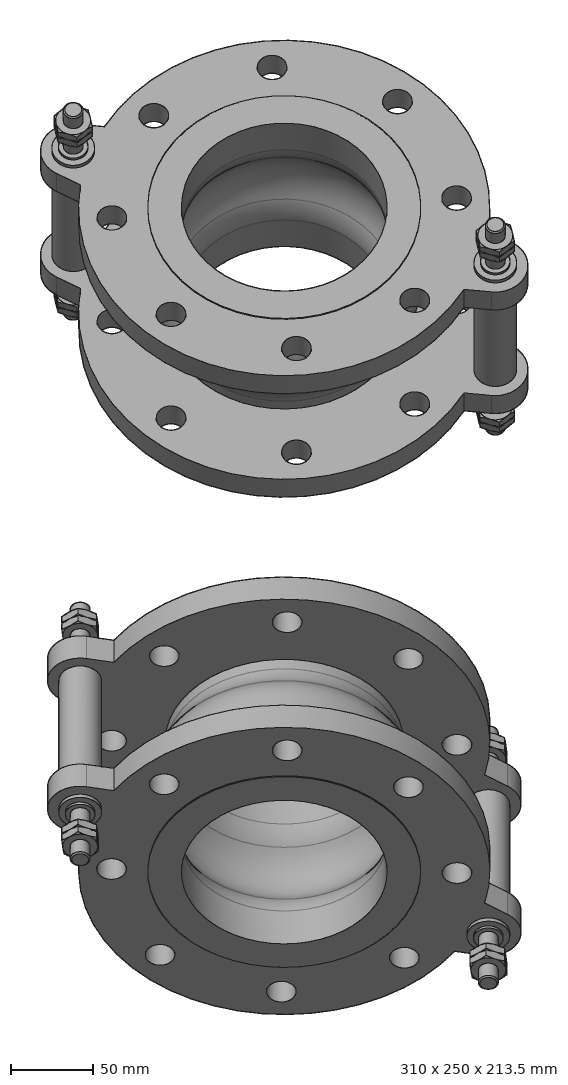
import cadquery as cq
import math

flange_diameter = 250.0
flange_inner_z = 45.0
flange_thickness = 19.0
flange_outer_z = flange_inner_z + flange_thickness
face_diameter = 166.0
face_height = 1.0
face_z = flange_outer_z + face_height

bolt_count = 8
bolt_hole_diameter = 18.0
bolt_circle_diameter = 210.0

overall_length = 310
lug_radius = 19.8
lug_x = overall_length / 2 - lug_radius
lug_taper = math.radians(12)

bore_diameter = 125.0
neck_diameter = 145.0
crown_diameter = 170.0
neck_end_z = 37.0
crown_end_z = 22.0

rod_diameter = 12.0
overall_height = 213.5
rod_chamfer = 1.0
sleeve_diameter = 26.0
sleeve_end_z = 66.5
collar_diameter = 18.0
collar_height = 2.0

nut_count = 2
nut_across_corners = 24.5
nut_stack_height = 12.0
nut_height = nut_stack_height / nut_count
nut_start_z = 83.5
nut_chamfer_angle = math.radians(25)


def disc(diameter, bottom_z, top_z):
    return cq.Workplane("XY").workplane(offset=bottom_z).circle(diameter / 2).extrude(top_z - bottom_z)


def both_ends(shape):
    return shape.union(shape.mirror("XY"))


def lug():
    """Right-hand lug of the upper flange."""
    tangent_x = lug_x + lug_radius * math.sin(lug_taper)
    tangent_y = lug_radius * math.cos(lug_taper)
    root_x = bolt_circle_diameter / 2
    root_y = tangent_y + (tangent_x - root_x) * math.tan(lug_taper)
    return (
        cq.Workplane("XY")
        .workplane(offset=flange_inner_z)
        .moveTo(root_x, -root_y)
        .lineTo(tangent_x, -tangent_y)
        .threePointArc((lug_x + lug_radius, 0), (tangent_x, tangent_y))
        .lineTo(root_x, root_y)
        .close()
        .extrude(flange_thickness)
    )


def flange():
    right_lug = lug()
    body = disc(flange_diameter, flange_inner_z, flange_outer_z)
    body = body.union(right_lug).union(right_lug.mirror("YZ"))
    body = body.union(disc(face_diameter, flange_outer_z, face_z))
    bolt_holes = (
        cq.Workplane("XY")
        .workplane(offset=flange_inner_z)
        .polarArray(bolt_circle_diameter / 2, 180 / bolt_count, 360, bolt_count)
        .circle(bolt_hole_diameter / 2)
        .extrude(flange_thickness)
    )
    return body.cut(bolt_holes).cut(disc(bore_diameter, flange_inner_z, face_z))


def bulged_core(neck_radius, crown_radius):
    """Solid of revolution: straight necks, with neck and crown arcs that meet tangentially."""
    sweep = 2 * math.atan((crown_radius - neck_radius) / neck_end_z)
    crown_arc = crown_end_z / math.sin(sweep)
    neck_arc = (neck_end_z - crown_end_z) / math.sin(sweep)
    join_r = crown_radius - crown_arc * (1 - math.cos(sweep))
    mid_r = neck_radius + neck_arc * (1 - math.cos(sweep / 2))
    mid_z = neck_end_z - neck_arc * math.sin(sweep / 2)
    return (
        cq.Workplane("XZ")
        .moveTo(0, -flange_inner_z)
        .lineTo(neck_radius, -flange_inner_z)
        .lineTo(neck_radius, -neck_end_z)
        .threePointArc((mid_r, -mid_z), (join_r, -crown_end_z))
        .threePointArc((crown_radius, 0), (join_r, crown_end_z))
        .threePointArc((mid_r, mid_z), (neck_radius, neck_end_z))
        .lineTo(neck_radius, flange_inner_z)
        .lineTo(0, flange_inner_z)
        .close()
        .revolve(360, (0, 0, 0), (0, 1, 0))
    )


def bellows():
    """The inside repeats the outside profile, moved inward by the neck wall."""
    wall = (neck_diameter - bore_diameter) / 2
    outside = bulged_core(neck_diameter / 2, crown_diameter / 2)
    inside = bulged_core(bore_diameter / 2, crown_diameter / 2 - wall)
    return outside.cut(inside)


def nut(bottom_z):
    """Hexagon with its corners on X, trimmed by a cone at both ends."""
    corner_radius = nut_across_corners / 2
    flat_radius = corner_radius * math.cos(math.pi / 6)
    corner_drop = (corner_radius - flat_radius) * math.tan(nut_chamfer_angle)
    hexagon = cq.Workplane("XY").workplane(offset=bottom_z).polygon(6, nut_across_corners).extrude(nut_height)
    envelope = (
        disc(nut_across_corners, bottom_z, bottom_z + nut_height)
        .edges()
        .chamfer(corner_drop, corner_radius - flat_radius)
    )
    return hexagon.intersect(envelope)


def tie_rod():
    rod = disc(rod_diameter, -overall_height / 2, overall_height / 2).edges().chamfer(rod_chamfer)
    sleeve = disc(sleeve_diameter, -sleeve_end_z, sleeve_end_z)
    end_parts = disc(collar_diameter, sleeve_end_z, sleeve_end_z + collar_height)
    for index in range(nut_count):
        end_parts = end_parts.union(nut(nut_start_z + index * nut_height))
    return rod.union(sleeve).union(both_ends(end_parts))


result = both_ends(flange()).union(bellows())
for side in (-1, 1):
    result = result.union(tie_rod().translate((side * lug_x, 0, 0)))